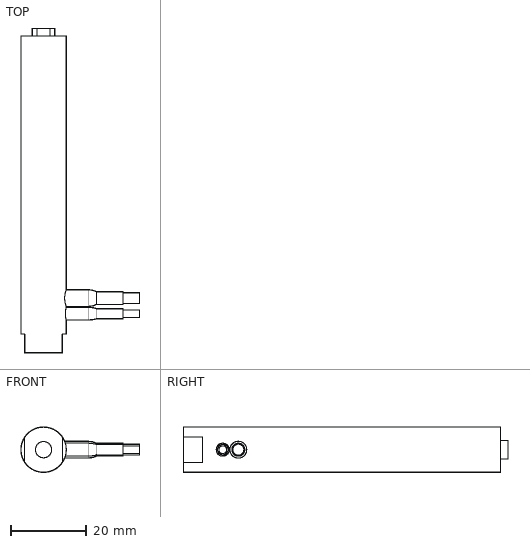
import cadquery as cq
import math

total_length = 86.0
body_diameter = 12.0
body_radius = body_diameter / 2

flats_width = 10.0
flats_length = 5.0

hole_radius = 2.15
hole_depth = 8.6
drill_point_angle = 118.0

stub_diameter = 6.0
stub_flats_height = 5.0
stub_length = 2.0

sleeve_end = 11.95
nose_end = 14.0
sheath_end = 21.1
cable_end = 31.5 - body_radius
large_cable_y = 14.5
small_cable_y = 10.4


def make_body():
    body_length = total_length - stub_length
    body = cq.Workplane("XZ").circle(body_radius).extrude(-body_length)
    front_block = (
        cq.Workplane("XY")
        .box(body_diameter, flats_length, body_diameter, centered=(True, False, True))
    )
    between_flats = (
        cq.Workplane("XY")
        .box(flats_width, flats_length, body_diameter, centered=(True, False, True))
    )
    return body.cut(front_block.cut(between_flats))


def make_stub():
    base_plane = cq.Workplane("XZ", origin=(0, total_length - stub_length, 0))
    round_stub = base_plane.circle(stub_diameter / 2).extrude(-stub_length)
    between_flats = base_plane.rect(stub_diameter, stub_flats_height).extrude(-stub_length)
    return round_stub.intersect(between_flats)


def make_hole():
    point_depth = hole_radius / math.tan(math.radians(drill_point_angle / 2))
    return (
        cq.Workplane("XY")
        .polyline([(0, 0), (hole_radius, 0), (hole_radius, hole_depth), (0, hole_depth + point_depth)])
        .close()
        .revolve(360, (0, 0), (0, 1))
    )


def make_cable(center_y, sleeve_radius, sheath_radius, core_radius):
    """Sleeve with a rounded end, then the cable sheath, then the bare core."""
    return (
        cq.Workplane("XY", origin=(0, center_y, 0))
        .lineTo(0, sleeve_radius)
        .lineTo(sleeve_end, sleeve_radius)
        .tangentArcPoint((nose_end, sheath_radius), relative=False)
        .lineTo(sheath_end, sheath_radius)
        .lineTo(sheath_end, core_radius)
        .lineTo(cable_end, core_radius)
        .lineTo(cable_end, 0)
        .close()
        .revolve(360, (0, 0), (1, 0))
    )


large_cable = make_cable(large_cable_y, sleeve_radius=2.2, sheath_radius=1.7, core_radius=1.5)
small_cable = make_cable(small_cable_y, sleeve_radius=1.7, sheath_radius=1.4, core_radius=1.0)

result = make_body().union(make_stub()).union(large_cable).union(small_cable).cut(make_hole())